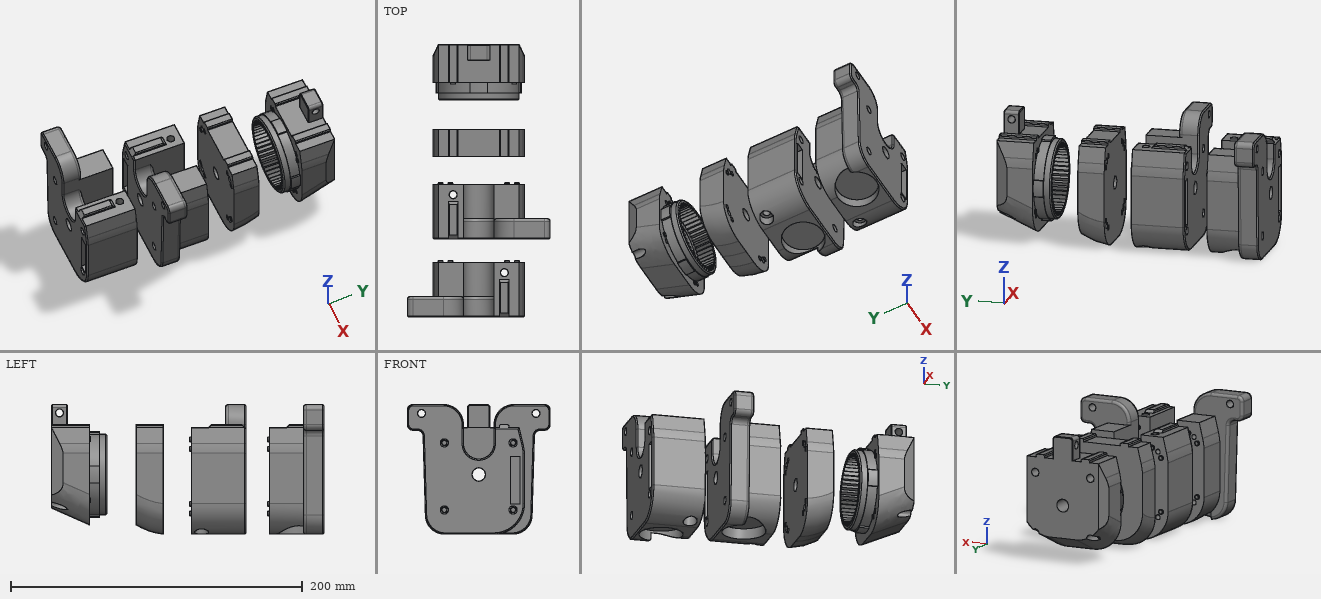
import cadquery as cq
import math


TOP_Z = 28.5
TOP_HALF_WIDTH = 27.7
SLOPE_END_X = 30.3
SLOPE_END_Z = 17.8
HALF_WIDTH = 31.4
SIDE_TOP_Z = 11.0
CHANNEL_HALF_WIDTH = 10.5
BOTTOM_Z = -44.5
CORNER_RADIUS = HALF_WIDTH - CHANNEL_HALF_WIDTH
SHAFT_Z = -3.5
SHAFT_DIAMETER = 9.0

SCREW_X = 23.5
SCREW_Z = 23.0
JOINT_Z = -4.9
PEG_INNER_X = 19.5
PEG_INNER_Z = 25.5
PEG_OUTER_X = 26.2
PEG_OUTER_Z = 18.9
PEG_DIAMETER = 3.4
PEG_HEIGHT = 1.1
PEG_CHAMFER = 0.4
PEG_HOLE_DEPTH = 1.5
SCREW_DIAMETER = 3.4
SCREW_HEAD_DIAMETER = 5.6
SCREW_HEAD_DEPTH = 7.5

RIDGE_X = 17.4
RIDGE_WIDTH = 6.5
RIDGE_HEIGHT = 2.0
RIDGE_CHAMFER = 0.7

HOUSING_FRONT_Y = -93.5
HOUSING_SPACING = 53.5
HOUSING_DEPTH = 37.5
FLANGE_DEPTH = 14.2
FLANGE_BACK_FILLET = 2.0
FRONT_CHAMFER = 1.0
ARM_TOP_Z = 44.5
ARM_BOTTOM_Z = 26.7
ARM_END_X = 49.0
ARM_RADIUS = 4.0
ARM_SHOULDER_RADIUS = 13.8
FLANGE_TOP_X = 38.3
FLANGE_BOTTOM_X = 36.2
FLANGE_CORNER_RADIUS = 13.5
CHANNEL_CENTER_Z = 17.5
ARM_HOLE_X = 39.2
ARM_HOLE_Z = 38.3
ARM_HOLE_DIAMETER = 5.2
HOUSING_RIDGE_LENGTH = 24.9
CROSS_HOLE_X = 17.5
CROSS_HOLE_SETBACK = 7.1
CROSS_HOLE_DIAMETER = 5.2
CROSS_BORE_DIAMETER = 9.5
CROSS_BORE_DEPTH = 7.5
SLOT_INNER_X = 21.9
SLOT_OUTER_X = 28.4
SLOT_TOP_Z = 8.8
SLOT_BOTTOM_Z = -24.0
SLOT_DEPTH = 28.4
POCKET_X = 9.9
POCKET_DIAMETER = 30.0
POCKET_DEPTH = 7.5
POCKET_SETBACK = 17.2

SPACER_FRONT_Y = 16.6
SPACER_DEPTH = 18.7
SPACER_MIDDLE_BOTTOM_Z = -42.5
SPACER_BACK_BOTTOM_Z = -38.1
INSERT_DIAMETER = 4.3
INSERT_DEPTH = 9.3

CAP_BACK_Y = 93.5
CAP_DEPTH = 26.2
CAP_BACK_BOTTOM_Z = -26.5
CAP_SIDE_CUT_Y = 8.0
CAP_SIDE_CUT_X = 3.7
CAP_JOINT_RADIUS = 30.0
CAP_HOLE_ANGLE = 45
CAP_PEG_ANGLE = 36
CAP_HEAD_DEPTH = 15.0
CAP_PEG_DIAMETER = 3.2
CAP_PEG_HEIGHT = 0.7
LUG_WIDTH = 15.5
LUG_DEPTH = 11.0
LUG_FILLET = 2.2
LUG_CHAMFER = 0.5
LUG_HOLE_DIAMETER = 5.2
LUG_HOLE_DROP = 5.8
RECESS_DIAMETER = 39.2
RECESS_DEPTH = 7.0
RECESS_FILLET = 3.4

RING_DEPTH = 12.0
RING_BASE_DEPTH = 7.0
RING_BASE_DIAMETER = 56.5
RING_DIAMETER = 55.3
RING_CHAMFER = 1.0
KEY_WIDTH = 11.8
KEY_SPAN = 58.7
TEETH = 48
TOOTH_ROOT_RADIUS = 25.2
TOOTH_TIP_RADIUS = 23.0


def sketch(y):
    """Vertical sketch plane at y with local axes X and Z; negative extrusions run toward +Y."""
    return cq.Workplane("XZ", origin=(0, y, 0))


def section(y, bottom_z):
    """Closed cross-section at y whose underside reaches bottom_z."""
    corner_x = HALF_WIDTH - CORNER_RADIUS
    corner_z = bottom_z + CORNER_RADIUS
    reach = CORNER_RADIUS * math.sqrt(0.5)
    return (
        sketch(y)
        .moveTo(0, TOP_Z)
        .lineTo(TOP_HALF_WIDTH, TOP_Z)
        .lineTo(SLOPE_END_X, SLOPE_END_Z)
        .tangentArcPoint((HALF_WIDTH, SIDE_TOP_Z), relative=False)
        .lineTo(HALF_WIDTH, corner_z)
        .threePointArc((corner_x + reach, corner_z - reach), (corner_x, bottom_z))
        .lineTo(0, bottom_z)
        .mirrorY()
    )


def lofted_block(stations, ruled):
    """Block running through (y, bottom_z) stations."""
    wires = [section(y, bottom_z).wires().val() for y, bottom_z in stations]
    return cq.Workplane(cq.Solid.makeLoft(wires, ruled))


def ridge(x, side_points):
    """Ridge on the top face at x; side_points is its outline in Y and height above the top."""
    points = [(y, TOP_Z + height) for y, height in side_points]
    start = x - RIDGE_WIDTH / 2
    bar = cq.Workplane("YZ", origin=(start, 0, 0)).polyline(points).close().extrude(RIDGE_WIDTH)
    return bar.faces(">Z").edges("|Y").chamfer(RIDGE_CHAMFER)


def straight_ridges(front_y, depth):
    """Pair of full-length ridges."""
    profile = [(front_y, 0), (front_y + depth, 0), (front_y + depth, RIDGE_HEIGHT), (front_y, RIDGE_HEIGHT)]
    return ridge(RIDGE_X, profile).union(ridge(-RIDGE_X, profile))


def screw_points():
    """Four screw positions shared by the housings and the spacer."""
    return [(x, JOINT_Z + z) for x in (-SCREW_X, SCREW_X) for z in (-SCREW_Z, SCREW_Z)]


def peg_points():
    """Eight peg positions, two beside each screw."""
    spots = [(PEG_INNER_X, PEG_INNER_Z), (PEG_OUTER_X, PEG_OUTER_Z)]
    return [(a * x, JOINT_Z + b * z) for x, z in spots for a in (-1, 1) for b in (-1, 1)]


def cylinders(y, points, diameter, length):
    """Cylinders starting at y and running length toward +Y."""
    return sketch(y).pushPoints(points).circle(diameter / 2).extrude(-length)


def flange():
    """Mounting flange with one arm, on the -X side of the channel."""
    shoulder_x = CHANNEL_HALF_WIDTH + ARM_SHOULDER_RADIUS
    outline = (
        sketch(HOUSING_FRONT_Y)
        .moveTo(CHANNEL_HALF_WIDTH, BOTTOM_Z)
        .lineTo(CHANNEL_HALF_WIDTH, CHANNEL_CENTER_Z)
        .threePointArc((0, CHANNEL_CENTER_Z - CHANNEL_HALF_WIDTH), (-CHANNEL_HALF_WIDTH, CHANNEL_CENTER_Z))
        .lineTo(-CHANNEL_HALF_WIDTH, ARM_TOP_Z - ARM_SHOULDER_RADIUS)
        .tangentArcPoint((-shoulder_x, ARM_TOP_Z), relative=False)
        .lineTo(-ARM_END_X, ARM_TOP_Z)
        .lineTo(-ARM_END_X, ARM_BOTTOM_Z)
        .lineTo(-FLANGE_TOP_X, ARM_BOTTOM_Z)
        .lineTo(-FLANGE_BOTTOM_X, BOTTOM_Z)
        .close()
    )
    plate = outline.extrude(-FLANGE_DEPTH)
    plate = plate.edges("|Y").edges("<X").fillet(ARM_RADIUS)
    inner_corner = cq.selectors.NearestToPointSelector((-FLANGE_TOP_X, HOUSING_FRONT_Y, ARM_BOTTOM_Z))
    plate = plate.edges("|Y").edges(inner_corner).fillet(ARM_RADIUS)
    foot = cq.selectors.NearestToPointSelector((-FLANGE_BOTTOM_X, HOUSING_FRONT_Y, BOTTOM_Z))
    plate = plate.edges("|Y").edges(foot).fillet(FLANGE_CORNER_RADIUS)
    return plate.faces(">Y").edges("not >X").fillet(FLANGE_BACK_FILLET)


def channel(start_y, end_y, center_z):
    """Round-bottomed slot, open at the top, between two Y positions."""
    depth = end_y - start_y
    height = TOP_Z - center_z
    walls = (
        sketch(start_y)
        .center(0, center_z + height / 2)
        .rect(2 * CHANNEL_HALF_WIDTH, height)
        .extrude(-depth)
    )
    return walls.union(cylinders(start_y, [(0, center_z)], 2 * CHANNEL_HALF_WIDTH, depth))


def vertical_bore(x, y, diameter, depth):
    """Round hole rising from the underside."""
    return cq.Workplane("XY", origin=(x, y, BOTTOM_Z)).circle(diameter / 2).extrude(depth)


def housing_ridge():
    """Short ridge whose two ends slope at 45 degrees."""
    front = HOUSING_FRONT_Y + FRONT_CHAMFER
    back = front + HOUSING_RIDGE_LENGTH
    profile = [(front, 0), (back, 0), (back - RIDGE_HEIGHT, RIDGE_HEIGHT), (front + RIDGE_HEIGHT, RIDGE_HEIGHT)]
    return ridge(RIDGE_X, profile)


def make_housing():
    """Foremost motor housing, with its arm toward -X."""
    back_y = HOUSING_FRONT_Y + HOUSING_DEPTH
    flange_back_y = HOUSING_FRONT_Y + FLANGE_DEPTH
    flange_room = cq.Workplane("XY", origin=(-HALF_WIDTH, HOUSING_FRONT_Y, BOTTOM_Z)).box(
        HALF_WIDTH + CHANNEL_HALF_WIDTH, FLANGE_DEPTH - FLANGE_BACK_FILLET, TOP_Z - BOTTOM_Z, centered=False
    )
    body = section(HOUSING_FRONT_Y, BOTTOM_Z).extrude(-HOUSING_DEPTH).cut(flange_room)
    body = body.cut(channel(HOUSING_FRONT_Y, flange_back_y - FLANGE_BACK_FILLET, CHANNEL_CENTER_Z))
    body = body.cut(channel(flange_back_y - FLANGE_BACK_FILLET, back_y, SHAFT_Z)).union(flange())
    body = body.faces("<Y").edges().chamfer(FRONT_CHAMFER)
    body = body.union(housing_ridge())

    pegs = cylinders(back_y, peg_points(), PEG_DIAMETER, PEG_HEIGHT).faces(">Y").chamfer(PEG_CHAMFER)
    body = body.union(pegs)

    body = body.cut(cylinders(HOUSING_FRONT_Y, screw_points(), SCREW_DIAMETER, HOUSING_DEPTH))
    body = body.cut(cylinders(HOUSING_FRONT_Y, screw_points(), SCREW_HEAD_DIAMETER, SCREW_HEAD_DEPTH))
    body = body.cut(cylinders(HOUSING_FRONT_Y, [(0, SHAFT_Z)], SHAFT_DIAMETER, HOUSING_DEPTH))
    body = body.cut(cylinders(HOUSING_FRONT_Y, [(-ARM_HOLE_X, ARM_HOLE_Z)], ARM_HOLE_DIAMETER, FLANGE_DEPTH))

    slot = (
        sketch(HOUSING_FRONT_Y)
        .center((SLOT_INNER_X + SLOT_OUTER_X) / 2, (SLOT_TOP_Z + SLOT_BOTTOM_Z) / 2)
        .rect(SLOT_OUTER_X - SLOT_INNER_X, SLOT_TOP_Z - SLOT_BOTTOM_Z)
        .extrude(-SLOT_DEPTH)
    )
    body = body.cut(slot)

    cross_y = back_y - CROSS_HOLE_SETBACK
    body = body.cut(vertical_bore(CROSS_HOLE_X, cross_y, CROSS_HOLE_DIAMETER, TOP_Z - BOTTOM_Z))
    body = body.cut(vertical_bore(CROSS_HOLE_X, cross_y, CROSS_BORE_DIAMETER, CROSS_BORE_DEPTH))
    pocket_y = HOUSING_FRONT_Y + POCKET_SETBACK
    return body.cut(vertical_bore(-POCKET_X, pocket_y, POCKET_DIAMETER, POCKET_DEPTH))


def make_spacer():
    """Spacer whose underside curves upward toward the back."""
    stations = [
        (SPACER_FRONT_Y, BOTTOM_Z),
        (SPACER_FRONT_Y + SPACER_DEPTH / 2, SPACER_MIDDLE_BOTTOM_Z),
        (SPACER_FRONT_Y + SPACER_DEPTH, SPACER_BACK_BOTTOM_Z),
    ]
    body = lofted_block(stations, False).union(straight_ridges(SPACER_FRONT_Y, SPACER_DEPTH))
    body = body.cut(cylinders(SPACER_FRONT_Y, screw_points(), INSERT_DIAMETER, INSERT_DEPTH))
    body = body.cut(cylinders(SPACER_FRONT_Y, [(0, SHAFT_Z)], SHAFT_DIAMETER, SPACER_DEPTH))
    return body.cut(cylinders(SPACER_FRONT_Y, peg_points(), PEG_DIAMETER, PEG_HOLE_DEPTH))


def lug():
    """Drilled lug standing on the back of the rear cap."""
    height = ARM_TOP_Z - TOP_Z
    block = cq.Workplane("XY", origin=(0, CAP_BACK_Y - LUG_DEPTH / 2, TOP_Z)).box(
        LUG_WIDTH, LUG_DEPTH, height, centered=(True, True, False)
    )
    block = block.faces(">Z").edges("|Y").fillet(LUG_FILLET)
    block = block.faces("<Y or >Y").edges("not <Z").chamfer(LUG_CHAMFER)
    hole = (
        cq.Workplane("YZ", origin=(-LUG_WIDTH / 2, CAP_BACK_Y - LUG_DEPTH / 2, ARM_TOP_Z - LUG_HOLE_DROP))
        .circle(LUG_HOLE_DIAMETER / 2)
        .extrude(LUG_WIDTH)
    )
    return block.cut(hole)


def side_cuts():
    """Wedges that narrow both sides of the rear cap toward the back."""
    wedge = (
        cq.Workplane("XY", origin=(0, 0, BOTTOM_Z))
        .polyline(
            [
                (HALF_WIDTH, CAP_BACK_Y - CAP_SIDE_CUT_Y),
                (HALF_WIDTH, CAP_BACK_Y),
                (HALF_WIDTH - CAP_SIDE_CUT_X, CAP_BACK_Y),
            ]
        )
        .close()
        .extrude(TOP_Z - BOTTOM_Z)
    )
    return wedge.union(wedge.mirror("YZ"))


def cap_joint_points(angle):
    """Four points around the shaft, a quarter turn apart."""
    turns = [math.radians(angle + 90 * quarter) for quarter in range(4)]
    return [(CAP_JOINT_RADIUS * math.cos(a), SHAFT_Z + CAP_JOINT_RADIUS * math.sin(a)) for a in turns]


def make_cap():
    """Rear cap with a rising underside, a lug and the recess behind the ring gear."""
    front_y = CAP_BACK_Y - CAP_DEPTH
    body = lofted_block([(front_y, SPACER_BACK_BOTTOM_Z), (CAP_BACK_Y, CAP_BACK_BOTTOM_Z)], True)
    body = body.cut(side_cuts())
    body = body.union(straight_ridges(front_y, CAP_DEPTH)).union(lug())

    pegs = cylinders(front_y - CAP_PEG_HEIGHT, cap_joint_points(CAP_PEG_ANGLE), CAP_PEG_DIAMETER, CAP_PEG_HEIGHT)
    body = body.union(pegs)
    holes = cap_joint_points(CAP_HOLE_ANGLE)
    body = body.cut(cylinders(front_y, holes, SCREW_DIAMETER, CAP_DEPTH))
    body = body.cut(cylinders(CAP_BACK_Y - CAP_HEAD_DEPTH, holes, SCREW_HEAD_DIAMETER, CAP_HEAD_DEPTH))
    body = body.cut(cylinders(front_y, [(0, SHAFT_Z)], SHAFT_DIAMETER, CAP_DEPTH))
    recess = cylinders(front_y, [(0, SHAFT_Z)], RECESS_DIAMETER, RECESS_DEPTH).faces(">Y").edges().fillet(RECESS_FILLET)
    return body.cut(recess)


def ring_opening(front_y):
    """Toothed opening of the ring gear."""
    points = []
    for step in range(2 * TEETH):
        angle = math.pi * step / TEETH
        radius = TOOTH_ROOT_RADIUS if step % 2 else TOOTH_TIP_RADIUS
        points.append((radius * math.cos(angle), SHAFT_Z + radius * math.sin(angle)))
    return sketch(front_y).polyline(points).close().extrude(-RING_DEPTH)


def bar(y, width, height):
    """Rectangular bar centred on the shaft, as deep as the ring base."""
    return sketch(y).center(0, SHAFT_Z).rect(width, height).extrude(-RING_BASE_DEPTH)


def make_ring():
    """Ring gear with four keys around its base."""
    back_y = CAP_BACK_Y - CAP_DEPTH
    front_y = back_y - RING_DEPTH
    base_y = back_y - RING_BASE_DEPTH
    body = cylinders(front_y, [(0, SHAFT_Z)], RING_DIAMETER, RING_DEPTH)
    body = body.faces("<Y").chamfer(RING_CHAMFER)
    body = body.union(cylinders(base_y, [(0, SHAFT_Z)], RING_BASE_DIAMETER, RING_BASE_DEPTH))
    cross = bar(base_y, KEY_WIDTH, KEY_SPAN).union(bar(base_y, KEY_SPAN, KEY_WIDTH))
    keys = cross.intersect(cylinders(base_y, [(0, SHAFT_Z)], KEY_SPAN, RING_BASE_DEPTH))
    body = body.union(keys)
    return body.cut(ring_opening(front_y))


front_housing = make_housing()
second_housing = front_housing.mirror("YZ").translate((0, HOUSING_SPACING, 0))
spacer = make_spacer()
cap = make_cap()
ring_gear = make_ring()

result = cq.Compound.makeCompound(
    [front_housing.val(), second_housing.val(), spacer.val(), cap.val(), ring_gear.val()]
)